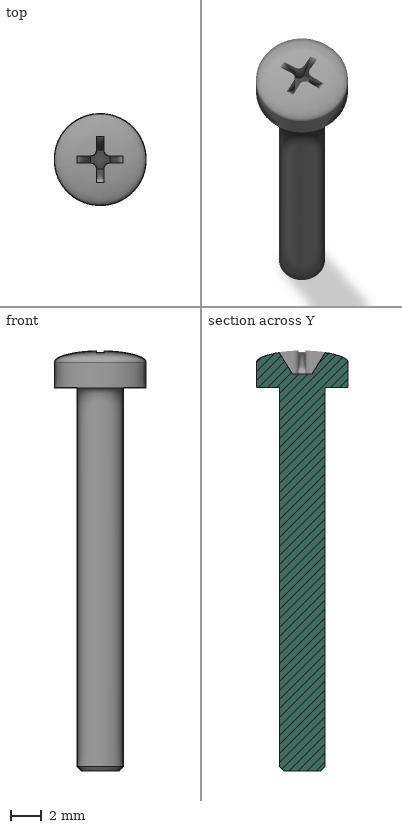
import cadquery as cq

total_length = 27.4
head_diameter = 6.0
head_height = 2.4
rim_height = 1.65
shank_diameter = 3.0
tip_chamfer = 0.3

recess_span = 3.12
recess_depth = 1.5
wing_width = 0.47
core_width = 1.25
cutter_clearance = 0.27

head_radius = head_diameter / 2
shank_radius = shank_diameter / 2
shank_length = total_length - head_height
rim_top = shank_length + rim_height
dome_height = head_height - rim_height
recess_floor = total_length - recess_depth
cutter_top = total_length + cutter_clearance
core_corner_radius = (core_width - wing_width) / 2


def screw_body():
    """Revolve the half profile of chamfered tip, shank and elliptical domed head about Z."""
    return (
        cq.Workplane("XZ")
        .lineTo(shank_radius - tip_chamfer, 0)
        .lineTo(shank_radius, tip_chamfer)
        .lineTo(shank_radius, shank_length)
        .lineTo(head_radius, shank_length)
        .lineTo(head_radius, rim_top)
        .ellipseArc(head_radius, dome_height, 0, 90, startAtCurrent=True)
        .close()
        .revolve(360, (0, 0, 0), (0, 1, 0))
    )


def recess_wings():
    """Slot along X, through the axis, whose ends slope in from the full span to the core."""
    half_span = recess_span / 2
    half_core = core_width / 2
    return (
        cq.Workplane("XZ")
        .moveTo(-half_span, cutter_top)
        .lineTo(-half_span, total_length)
        .lineTo(-half_core, recess_floor)
        .lineTo(half_core, recess_floor)
        .lineTo(half_span, total_length)
        .lineTo(half_span, cutter_top)
        .close()
        .extrude(wing_width / 2, both=True)
    )


def recess_core():
    """Square pocket whose corners bulge inward as rounds tangent to the wing walls."""
    floor_plane = cq.Workplane("XY").workplane(offset=recess_floor)
    cut_height = cutter_top - recess_floor
    corner_rounds = (
        floor_plane.rect(core_width, core_width, forConstruction=True)
        .vertices()
        .circle(core_corner_radius)
        .extrude(cut_height)
    )
    return floor_plane.rect(core_width, core_width).extrude(cut_height).cut(corner_rounds)


wings_along_x = recess_wings()
wings_along_y = wings_along_x.rotate((0, 0, 0), (0, 0, 1), 90)
recess = recess_core().union(wings_along_x).union(wings_along_y)

result = screw_body().cut(recess)